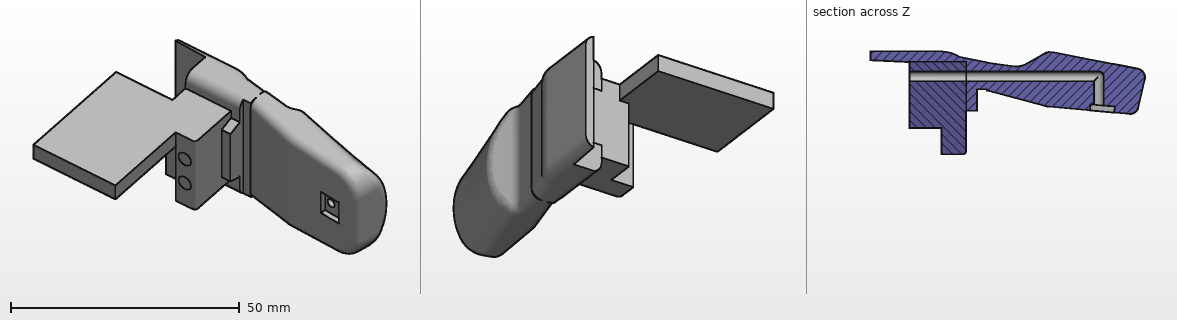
import cadquery as cq
import math


half_width = 14.01
back_y = 44.5
flange_left = 6.9
base_left = 15.4
base_right = 32.3
base_front = 34.85
flange_tip_front = 42.5
slot_floor = 42.1
base_round = 2.6
bend_start_x = 22.4
bend_middle = (24.5, 44.15)
bend_end = (26.35, 43.3)
neck_slope = math.radians(-11.2)
groove_left = 30.2
groove_front = 36.1
stop_front = 31.45
stop_foot_half = 7.95

grip_root = 26.75
front_knee = (45.4, 32.4)
front_slope_before_knee = math.radians(-15)
front_slope_after_knee = math.radians(-5.2)
knee_round = 4.7
neck_end = (38.25, 41.2)
neck_dip = (39.7, 41.25)
neck_step = 0.1
ramp_start = (40.9, 41.7)
ramp_top = (48.5, 46.0)
bump_top = (44.2, 43.6)
bump_round = 2.7
outline_end_x = 70.9

grip_tilt = math.radians(13)
taper_start = (33.1, 40.1)
taper_angle = math.radians(3.4)
grip_length = 33.3
grip_corner = 6.0
grip_round = 2.0
grip_middle_half = 6.7
rim_end_x = 63.55

crown_start = (39.45, 45.75, 41.7, 13.65)
crown_end = (outline_end_x, 39.6, 32.4, 11.65)
crown_overhang = 0.7
crown_shoulder_drop = 0.15
crown_depth = 26.75

wire_diameter = 2.1
wire_y = 39.0
wire_exit_x = 56.8
pocket_center_x = 57.5
pocket_length = 5.3
pocket_width = 6.1
pocket_depth = 1.35

plate_right = 22.4
plate_back = 30.1
plate_thickness = 4.1
arm_right = 27.8
arm_front = 21.95
arm_step_front = 27.7
arm_half = 9.95
arm_round = 0.8
tongue_half = 6.9
pin_diameter = 3.4
pin_x = 24.9
pin_spacing = 6.95


def block(x_range, y_range, z_range):
    (x0, x1), (y0, y1), (z0, z1) = x_range, y_range, z_range
    return cq.Workplane("XY").box(x1 - x0, y1 - y0, z1 - z0, centered=False).translate((x0, y0, z0))


def across(half):
    return (-half, half)


def extrude_both(outline, half):
    return outline.close().extrude(half, both=True)


def y_on_line(point, slope, x):
    """Height at x of the line through a point."""
    return point[1] + math.tan(slope) * (x - point[0])


def make_tongue_space():
    """The bracket tongue, which is also the slot that takes it in the lever."""
    return block((base_left, arm_right), (base_front, slot_floor), across(tongue_half))


def make_wire_channel():
    length = wire_exit_x - base_left
    return cq.Workplane("YZ", origin=(base_left, wire_y, 0)).circle(wire_diameter / 2).extrude(length)


def make_base():
    outline = (
        cq.Workplane("XY")
        .moveTo(flange_left, base_front)
        .lineTo(base_right, base_front)
        .lineTo(base_right, y_on_line(bend_end, neck_slope, base_right))
        .lineTo(*bend_end)
        .threePointArc(bend_middle, (bend_start_x, back_y))
        .lineTo(flange_left, back_y)
    )
    base = extrude_both(outline, half_width)
    base = base.faces("|Z").edges("not(<X or >X)").fillet(base_round)
    under_flange = (
        cq.Workplane("XY")
        .moveTo(flange_left, base_front)
        .lineTo(base_left, base_front)
        .lineTo(base_left, slot_floor)
        .lineTo(flange_left, flange_tip_front)
    )
    base = base.cut(extrude_both(under_flange, half_width))
    groove = block((groove_left, base_right), (base_front, groove_front), across(half_width))
    return base.cut(groove)


def make_stop():
    """Tapered stop on the base front, against the right side of the bracket arm."""
    outline = (
        cq.Workplane("YZ", origin=(arm_right, 0, 0))
        .moveTo(base_front, -stop_foot_half)
        .lineTo(base_front, stop_foot_half)
        .lineTo(stop_front, tongue_half)
        .lineTo(stop_front, -tongue_half)
        .close()
    )
    return outline.extrude(groove_left - arm_right)


def make_grip_profile():
    """Grip outline along the lever, with the neck, the ramp and the bump."""
    neck_y = y_on_line(bend_end, neck_slope, base_right) - neck_step
    outline = (
        cq.Workplane("XY")
        .moveTo(grip_root, y_on_line(front_knee, front_slope_before_knee, grip_root))
        .lineTo(*front_knee)
        .lineTo(outline_end_x, y_on_line(front_knee, front_slope_after_knee, outline_end_x))
        .lineTo(outline_end_x, ramp_top[1])
        .lineTo(*ramp_top)
        .lineTo(*ramp_start)
        .threePointArc(neck_dip, neck_end)
        .lineTo(base_right, neck_y)
        .lineTo(grip_root, y_on_line((base_right, neck_y), neck_slope, grip_root))
    )
    profile = extrude_both(outline, half_width)
    return profile.edges(cq.NearestToPointSelector((*front_knee, 0))).fillet(knee_round)


def make_grip_plan():
    """Tapered grip outline across the width, square to the tilted grip."""
    along = cq.Vector(math.cos(grip_tilt), -math.sin(grip_tilt), 0)
    outward = cq.Vector(math.sin(grip_tilt), math.cos(grip_tilt), 0)
    plane = cq.Plane(origin=(*taper_start, 0), xDir=along, normal=outward)
    end_half = half_width - grip_length * math.tan(taper_angle)
    lead = 2 * (taper_start[0] - grip_root)
    outline = (
        cq.Workplane(plane)
        .moveTo(-lead, half_width)
        .lineTo(0, half_width)
        .lineTo(grip_length, end_half)
        .lineTo(grip_length, -end_half)
        .lineTo(0, -half_width)
        .lineTo(-lead, -half_width)
    )
    plan = extrude_both(outline, crown_depth)
    for side in (-1, 1):
        corner = plane.toWorldCoords((grip_length, side * end_half, 0))
        plan = plan.edges(cq.NearestToPointSelector(corner.toTuple())).fillet(grip_corner)
    return plan


def crown_section(x, middle, edge, half):
    """Closed section under the crown; its arch runs a little past the edges."""
    sag = middle - edge
    radius = (half**2 + sag**2) / (2 * sag)
    reach = half + crown_overhang
    reach_y = middle - radius + math.sqrt(radius**2 - reach**2)
    shoulder_y = middle - crown_shoulder_drop * (middle - reach_y)
    floor = middle - crown_depth
    arch = [(shoulder_y, -reach / 2), (middle, 0), (shoulder_y, reach / 2), (reach_y, reach)]
    section = (
        cq.Workplane("YZ", origin=(x, 0, 0))
        .moveTo(floor, -reach)
        .lineTo(reach_y, -reach)
        .spline(arch, includeCurrent=True)
        .lineTo(floor, reach)
        .close()
    )
    return section.wires().val()


def make_crown():
    crown = cq.Solid.makeLoft([crown_section(*crown_start), crown_section(*crown_end)], True)
    neck = block((0, crown_start[0]), (0, 2 * back_y), across(2 * half_width))
    return neck.union(cq.Workplane(crown))


def rim_edges(grip, facing):
    """Edges along the sides and the end of the grip on its front (facing -1) or back (facing 1)."""
    edges = []
    for face in grip.faces().vals():
        if face.normalAt().y * facing < 0.8:
            continue
        for edge in face.Edges():
            middle = edge.positionAt(0.5)
            if abs(middle.z) > grip_middle_half or middle.x > rim_end_x:
                edges.append(edge)
    return edges


def make_grip():
    grip = make_grip_profile().intersect(make_grip_plan()).intersect(make_crown())
    grip = grip.edges(cq.NearestToPointSelector((*bump_top, 0))).fillet(bump_round)
    for facing in (-1, 1):
        grip = grip.newObject(rim_edges(grip, facing)).fillet(grip_round)
    return grip.intersect(block((base_right, outline_end_x), (0, 2 * back_y), across(half_width)))


def make_pocket():
    """Rectangular pocket in the sloping grip front."""
    front_y = y_on_line(front_knee, front_slope_after_knee, pocket_center_x)
    facing = cq.Vector(math.sin(front_slope_after_knee), -math.cos(front_slope_after_knee), 0)
    plane = cq.Plane(origin=(pocket_center_x, front_y, 0), xDir=(0, 0, 1), normal=facing)
    return cq.Workplane(plane).rect(pocket_width, pocket_length).extrude(pocket_depth, both=True)


def make_wire_exit():
    """Hole from the pocket to the wire channel, with a ball elbow where they meet."""
    plane = cq.Plane(origin=(wire_exit_x, arm_front, 0), xDir=(1, 0, 0), normal=(0, 1, 0))
    hole = cq.Workplane(plane).circle(wire_diameter / 2).extrude(wire_y - arm_front)
    elbow = cq.Workplane("XY").sphere(wire_diameter / 2).translate((wire_exit_x, wire_y, 0))
    return hole.union(elbow)


def make_lever():
    lever = make_base().union(make_grip(), clean=False).union(make_stop(), clean=False)
    wire_path = make_wire_channel().union(make_wire_exit())
    for hollow in (make_tongue_space(), wire_path, make_pocket()):
        lever = lever.cut(hollow, clean=False)
    return lever


def make_pin(z):
    plane = cq.Plane(origin=(pin_x, arm_front, z), xDir=(1, 0, 0), normal=(0, 1, 0))
    return cq.Workplane(plane).circle(pin_diameter / 2).extrude(slot_floor - arm_front)


def make_bracket(pins):
    plate = block((0, plate_right), (0, plate_back), (arm_half - plate_thickness, arm_half))
    arm = block((base_left, arm_right), (arm_front, base_front), across(arm_half))
    arm = arm.edges("|Z and >X and <Y").fillet(arm_round)
    step = block((base_left, plate_right), (arm_front, arm_step_front), across(arm_half))
    bracket = arm.cut(step).union(plate).union(make_tongue_space()).cut(make_wire_channel())
    for pin in pins:
        bracket = bracket.cut(pin)
    return bracket


pins = []
for side in (-1, 1):
    pins.append(make_pin(side * pin_spacing / 2))

bracket = make_bracket(pins)
lever = make_lever()

result = cq.Compound.makeCompound([lever.val(), bracket.val(), *[pin.val() for pin in pins]])